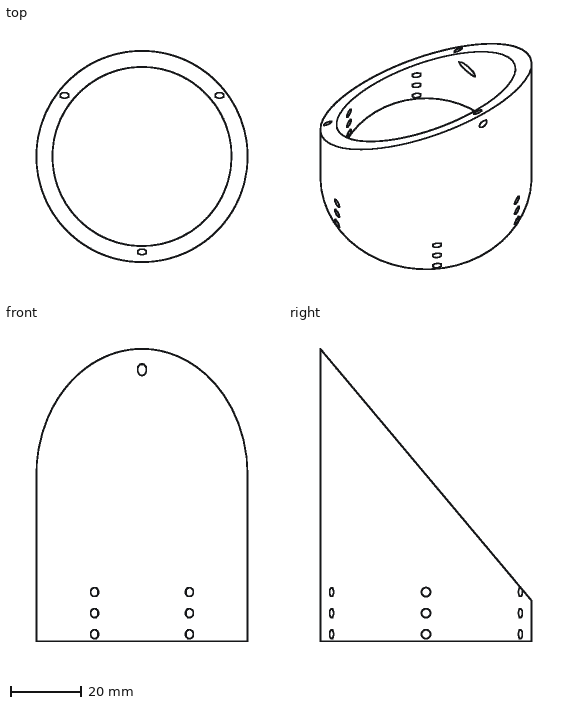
import cadquery as cq
import math

height = 83.0
outer_diameter = 60.0
inner_diameter = 50.8
outer_radius = outer_diameter / 2

slope_angle = 50.0
slope_rise = math.tan(math.radians(slope_angle))
low_height = height - outer_diameter * slope_rise

hole_diameter = 2.5

first_row_height = 2.0
row_spacing = 6.0
row_count = 3
side_angle = 26.7
column_angles = [0, 90 - side_angle, 90 + side_angle, 180, 270 - side_angle, 270 + side_angle]

slope_hole_depth = 11.6
front_hole_y = -27.05
rear_hole_x = 22.0
rear_hole_y = 17.35
slope_hole_centres = [(0, front_hole_y), (-rear_hole_x, rear_hole_y), (rear_hole_x, rear_hole_y)]
drill_clearance = 0.8


def sloped_tube():
    """Tube trimmed by extruding its side outline along X."""
    tube = cq.Workplane("XY").circle(outer_radius).circle(inner_diameter / 2).extrude(height)
    side_outline = [
        (-outer_radius, 0),
        (outer_radius, 0),
        (outer_radius, low_height),
        (-outer_radius, height),
    ]
    envelope = cq.Workplane("YZ").polyline(side_outline).close().extrude(outer_radius, both=True)
    return tube.intersect(envelope)


def drill(start, direction, length):
    return cq.Workplane(cq.Solid.makeCylinder(hole_diameter / 2, length, start, direction))


def wall_hole(angle, z):
    """Radial drill from the axis out through the wall."""
    direction = cq.Vector(math.cos(math.radians(angle)), math.sin(math.radians(angle)), 0)
    return drill(cq.Vector(0, 0, z), direction, outer_radius + drill_clearance)


def slope_hole(x, y):
    """Drill entering the sloping face along its normal."""
    z = height - (y + outer_radius) * slope_rise
    angle = math.radians(slope_angle)
    inward = cq.Vector(0, -math.sin(angle), -math.cos(angle))
    start = cq.Vector(x, y, z) - inward * drill_clearance
    return drill(start, inward, slope_hole_depth + drill_clearance)


result = sloped_tube()
for column_angle in column_angles:
    for row in range(row_count):
        result = result.cut(wall_hole(column_angle, first_row_height + row * row_spacing))
for centre_x, centre_y in slope_hole_centres:
    result = result.cut(slope_hole(centre_x, centre_y))